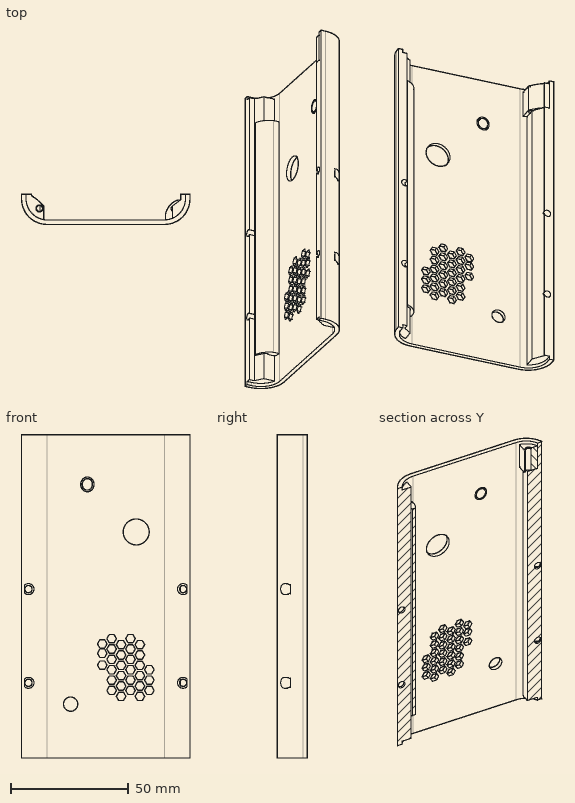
import cadquery as cq
import math

WIDTH = 72.0
DEPTH = 13.0
LENGTH = 138.0
WALL = 2.0
OUTER_RADIUS = 11.0
INNER_RADIUS = OUTER_RADIUS - WALL
HALF_WIDTH = WIDTH / 2
INNER_HALF_WIDTH = HALF_WIDTH - WALL
BEND_X = HALF_WIDTH - OUTER_RADIUS
BEND_Y = OUTER_RADIUS

LARGE_HOLE_DIAMETER = 11.0
LARGE_HOLE_CENTER = (13.0, 27.5)
SMALL_HOLE_DIAMETER = 6.0
SMALL_HOLE_CENTER = (-15.0, -46.0)

HEXAGON_SIDE = 2.0
COLUMN_PITCH = 4.02
ROW_PITCH = 4.42
EDGE_COLUMN_X = -1.5
EDGE_COLUMN_LEVELS = (-20.3, -24.3, -29.35)
HIGH_ROW_Z = -18.05
LOW_ROW_Z = -20.6
GRILLE_COLUMNS = (
    (HIGH_ROW_Z, 0, 6),
    (LOW_ROW_Z, 0, 6),
    (HIGH_ROW_Z, 0, 6),
    (LOW_ROW_Z, 0, 6),
    (HIGH_ROW_Z, 3, 3),
)

INLAY_CENTER = (-7.85, 47.8)
INLAY_WIDTH = 4.4
INLAY_HEIGHT = 5.0
INLAY_GAP = 0.6

SCREW_X = 33.0
SCREW_LEVELS = (3.1, -36.9)
SCREW_DIAMETER = 3.0
SCREW_HEAD_DIAMETER = 4.7
SCREW_HEAD_FLOOR_Y = 5.75

END_INSET = 1.5
RAIL_BOTTOM_Z = -LENGTH / 2 + END_INSET
RAIL_TOP_Z = LENGTH / 2 - END_INSET
RAIL_FACE_TOP_Y = 7.9
LEFT_RAIL_FACE_X = 28.0
LEFT_LIP_X = 31.6
LEFT_LIP_Y = 12.4
RIGHT_RAIL_FACE_X = 28.4
RIGHT_LIP_X = 32.0
RIGHT_LIP_Y = 10.6

BLOCK_LENGTH = 12.0
BLOCK_BOTTOM_Z = RAIL_TOP_Z - BLOCK_LENGTH
BLOCK_FACE_X = 26.4
BLOCK_CREST = (28.7, 10.2)

STRIP_INSET = 12.0
STRIP_BOTTOM_Z = RAIL_BOTTOM_Z + STRIP_INSET
STRIP_TOP_Z = RAIL_TOP_Z - STRIP_INSET
STRIP_FACE_X = 25.5
STRIP_FACE_TOP_Y = 4.6
STRIP_CREST = (27.4, 8.3)
STRIP_SHOULDER_X = 30.9

PIN_DIAMETER = 2.53
PIN_ENTRY_DIAMETER = 3.09
PIN_ENTRY_DEPTH = 0.5
BLOCK_PIN_CENTER = (-28.3, 6.9)
STRIP_PIN_CENTER = (29.2, 6.8)


def extrude_along_y(sketch, start_y, end_y):
    """Extrude what the sketch function draws in (X, Z) from start_y up to end_y."""
    plane = cq.Workplane("XZ", origin=(0, end_y, 0))
    return sketch(plane).extrude(end_y - start_y)


def bar_along_y(center, diameter, start_y, end_y):
    return extrude_along_y(lambda plane: plane.center(*center).circle(diameter / 2), start_y, end_y)


def bar_along_z(center, diameter, start_z, end_z):
    base = cq.Workplane("XY", origin=(0, 0, start_z))
    return base.center(*center).circle(diameter / 2).extrude(end_z - start_z)


def oval_plug(width, height):
    return extrude_along_y(
        lambda plane: plane.center(*INLAY_CENTER).ellipse(width / 2, height / 2), 0, WALL
    )


def bend_point(angle, radius, side):
    """Point on the bend at an angle from the side wall (0) to the front plate (90)."""
    turn = math.radians(angle)
    return side * (BEND_X + radius * math.cos(turn)), BEND_Y - radius * math.sin(turn)


def inner_bend_angle(x):
    """Angle at which the inner bend surface lies at distance x from the middle plane."""
    return math.degrees(math.acos((x - BEND_X) / INNER_RADIUS))


def grille_cutter():
    centers = [(EDGE_COLUMN_X, level) for level in EDGE_COLUMN_LEVELS]
    for column, (row_zero_z, first_row, rows) in enumerate(GRILLE_COLUMNS, start=1):
        x = EDGE_COLUMN_X + column * COLUMN_PITCH
        for row in range(first_row, first_row + rows):
            centers.append((x, row_zero_z - row * ROW_PITCH))
    return extrude_along_y(
        lambda plane: plane.pushPoints(centers).polygon(6, 2 * HEXAGON_SIDE), 0, WALL
    )


def bend_outline(side, face_x, start_z):
    """Open outline from the rim down the inner bend to the foot of a face at face_x."""
    foot_angle = inner_bend_angle(face_x)
    return (
        cq.Workplane("XY", origin=(0, 0, start_z))
        .moveTo(side * INNER_HALF_WIDTH, DEPTH)
        .lineTo(*bend_point(0, INNER_RADIUS, side))
        .threePointArc(
            bend_point(foot_angle / 2, INNER_RADIUS, side),
            bend_point(foot_angle, INNER_RADIUS, side),
        )
    )


def make_rail(side, face_x, lip_x, lip_y, top_z):
    return (
        bend_outline(side, face_x, RAIL_BOTTOM_Z)
        .lineTo(side * face_x, RAIL_FACE_TOP_Y)
        .lineTo(side * lip_x, lip_y)
        .lineTo(side * lip_x, DEPTH)
        .close()
        .extrude(top_z - RAIL_BOTTOM_Z)
    )


def make_channel():
    return (
        cq.Workplane("XY", origin=(0, 0, -LENGTH / 2))
        .moveTo(-HALF_WIDTH, DEPTH)
        .lineTo(*bend_point(0, OUTER_RADIUS, -1))
        .threePointArc(bend_point(45, OUTER_RADIUS, -1), bend_point(90, OUTER_RADIUS, -1))
        .lineTo(*bend_point(90, OUTER_RADIUS, 1))
        .threePointArc(bend_point(45, OUTER_RADIUS, 1), bend_point(0, OUTER_RADIUS, 1))
        .lineTo(HALF_WIDTH, DEPTH)
        .lineTo(INNER_HALF_WIDTH, DEPTH)
        .lineTo(*bend_point(0, INNER_RADIUS, 1))
        .threePointArc(bend_point(45, INNER_RADIUS, 1), bend_point(90, INNER_RADIUS, 1))
        .lineTo(*bend_point(90, INNER_RADIUS, -1))
        .threePointArc(bend_point(45, INNER_RADIUS, -1), bend_point(0, INNER_RADIUS, -1))
        .lineTo(-INNER_HALF_WIDTH, DEPTH)
        .close()
        .extrude(LENGTH)
    )


def make_shell():
    """Channel with both rails, pierced by all openings."""
    body = make_channel()
    body = body.union(make_rail(-1, LEFT_RAIL_FACE_X, LEFT_LIP_X, LEFT_LIP_Y, BLOCK_BOTTOM_Z))
    body = body.union(make_rail(1, RIGHT_RAIL_FACE_X, RIGHT_LIP_X, RIGHT_LIP_Y, RAIL_TOP_Z))
    body = body.cut(bar_along_y(LARGE_HOLE_CENTER, LARGE_HOLE_DIAMETER, 0, WALL))
    body = body.cut(bar_along_y(SMALL_HOLE_CENTER, SMALL_HOLE_DIAMETER, 0, WALL))
    body = body.cut(grille_cutter())
    body = body.cut(oval_plug(INLAY_WIDTH + 2 * INLAY_GAP, INLAY_HEIGHT + 2 * INLAY_GAP))
    for side in (-1, 1):
        for level in SCREW_LEVELS:
            center = (side * SCREW_X, level)
            body = body.cut(bar_along_y(center, SCREW_DIAMETER, 0, DEPTH))
            body = body.cut(bar_along_y(center, SCREW_HEAD_DIAMETER, 0, SCREW_HEAD_FLOOR_Y))
    return body


def make_end_block():
    block = (
        bend_outline(-1, BLOCK_FACE_X, BLOCK_BOTTOM_Z)
        .lineTo(-BLOCK_FACE_X, RAIL_FACE_TOP_Y)
        .threePointArc((-BLOCK_CREST[0], BLOCK_CREST[1]), (-LEFT_LIP_X, LEFT_LIP_Y))
        .lineTo(-LEFT_LIP_X, DEPTH)
        .close()
        .extrude(BLOCK_LENGTH)
    )
    block = block.cut(bar_along_z(BLOCK_PIN_CENTER, PIN_DIAMETER, BLOCK_BOTTOM_Z, RAIL_TOP_Z))
    entry_floor_z = RAIL_TOP_Z - PIN_ENTRY_DEPTH
    return block.cut(bar_along_z(BLOCK_PIN_CENTER, PIN_ENTRY_DIAMETER, entry_floor_z, RAIL_TOP_Z))


def make_strip():
    """Crescent between the right rail's inner faces and a rounded crest."""
    rail_angle = inner_bend_angle(RIGHT_RAIL_FACE_X)
    foot_angle = inner_bend_angle(STRIP_FACE_X)
    strip = (
        cq.Workplane("XY", origin=(0, 0, STRIP_BOTTOM_Z))
        .moveTo(*bend_point(rail_angle, INNER_RADIUS, 1))
        .threePointArc(
            bend_point((rail_angle + foot_angle) / 2, INNER_RADIUS, 1),
            bend_point(foot_angle, INNER_RADIUS, 1),
        )
        .lineTo(STRIP_FACE_X, STRIP_FACE_TOP_Y)
        .threePointArc(STRIP_CREST, (STRIP_SHOULDER_X, RIGHT_LIP_Y))
        .lineTo(RIGHT_LIP_X, RIGHT_LIP_Y)
        .lineTo(RIGHT_RAIL_FACE_X, RAIL_FACE_TOP_Y)
        .close()
        .extrude(STRIP_TOP_Z - STRIP_BOTTOM_Z)
    )
    return strip.cut(bar_along_z(STRIP_PIN_CENTER, PIN_DIAMETER, STRIP_BOTTOM_Z, STRIP_TOP_Z))


def make_inlay():
    return oval_plug(INLAY_WIDTH, INLAY_HEIGHT)


shell = make_shell()
end_block = make_end_block()
strip = make_strip()
inlay = make_inlay()

result = cq.Compound.makeCompound(
    [body.solids().val() for body in (shell, end_block, strip, inlay)]
)